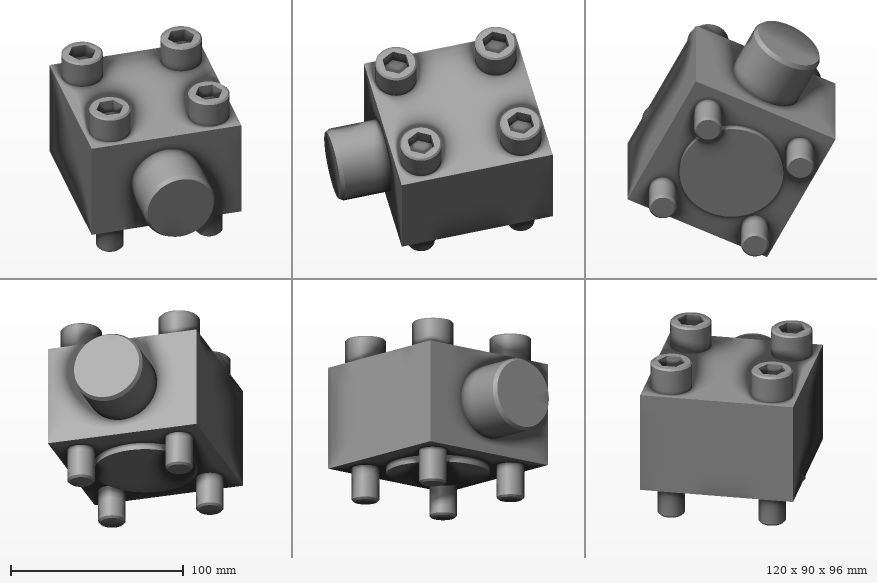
import cadquery as cq
import math

block_side = 90.0
block_height = 60.0

overall_length = 120.0
spigot_diameter = 42.4
spigot_length = overall_length - block_side
spigot_chamfer_length = 2.4
spigot_chamfer_depth = 1.5

disc_diameter = 60.0
disc_height = 4.0

overall_height = 96.0
screw_count = 4
pitch_diameter = 84.0
head_diameter = 24.0
head_height = 16.0
head_chamfer = 1.0
shank_diameter = 16.0
shank_length = overall_height - block_height - head_height
shank_chamfer = 1.2
hex_across_flats = 14.0
hex_depth = 8.0


def make_block():
    return cq.Workplane("XY").box(block_side, block_side, block_height, centered=(True, True, False))


def make_disc():
    return cq.Workplane("XY").circle(disc_diameter / 2).extrude(-disc_height)


def make_spigot():
    return (
        cq.Workplane("YZ", origin=(block_side / 2, 0, block_height / 2))
        .circle(spigot_diameter / 2)
        .extrude(spigot_length)
        .faces(">X")
        .chamfer(spigot_chamfer_length, spigot_chamfer_depth)
    )


def make_screw_ends():
    """Exposed head and shank of one screw, on the Z axis."""
    head = (
        cq.Workplane("XY", origin=(0, 0, block_height))
        .circle(head_diameter / 2)
        .extrude(head_height)
        .faces(">Z")
        .chamfer(head_chamfer)
    )
    across_corners = hex_across_flats / math.cos(math.pi / 6)
    socket = (
        cq.Workplane("XY", origin=(0, 0, block_height + head_height))
        .transformed(rotate=(0, 0, 90))
        .polygon(6, across_corners)
        .extrude(-hex_depth)
    )
    shank = (
        cq.Workplane("XY")
        .circle(shank_diameter / 2)
        .extrude(-shank_length)
        .faces("<Z")
        .chamfer(shank_chamfer)
    )
    return head.cut(socket), shank


result = make_block().union(make_disc()).union(make_spigot())

screw_head, screw_shank = make_screw_ends()
for index in range(screw_count):
    angle = math.radians(45 + index * 360 / screw_count)
    position = (pitch_diameter / 2 * math.cos(angle), pitch_diameter / 2 * math.sin(angle), 0)
    result = result.union(screw_head.translate(position)).union(screw_shank.translate(position))